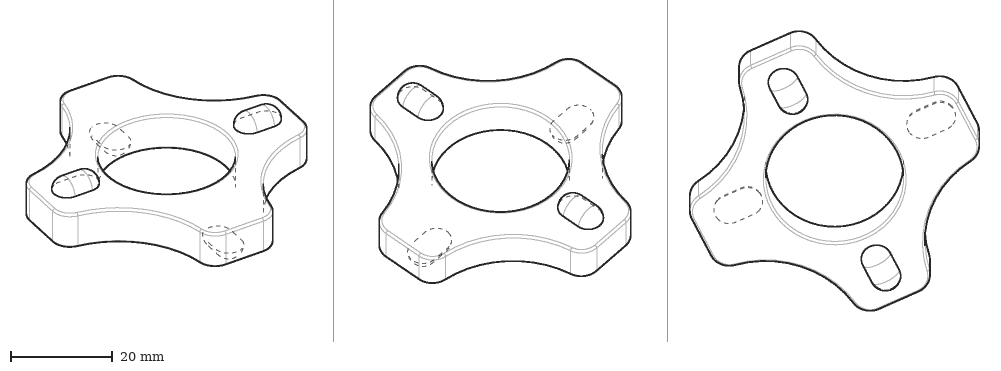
import cadquery as cq

width = 58.0
thickness = 8.0
bore_diameter = 27.0
scallop_radius = 21.0
arm_corner_radius = 4.0
edge_round = 0.5

nub_radius = 3.0
nub_length = 10.0
tall_nub_height = 3.0
low_nub_height = 2.8
nub_offset = 21.0

half_thickness = thickness / 2


def scalloped_body():
    """Square plate with a circular bite at each corner, leaving four rounded arms."""
    plate = cq.Workplane("XY").rect(width, width).extrude(half_thickness, both=True)
    bites = (
        cq.Workplane("XY")
        .rect(width, width, forConstruction=True)
        .vertices()
        .circle(scallop_radius)
        .extrude(half_thickness, both=True)
    )
    body = plate.cut(bites).edges("|Z").fillet(arm_corner_radius)
    bore = cq.Workplane("XY").circle(bore_diameter / 2).extrude(half_thickness, both=True)
    body = body.cut(bore)
    return body.faces("|Z").edges().fillet(edge_round)


def radial_nub(angle, side, nub_height):
    """Capsule lying along a radius at the given angle; side is +1 for top, -1 for bottom."""
    straight = nub_length - 2 * nub_radius
    half_profile = (
        cq.Workplane("XY")
        .moveTo(-nub_length / 2, 0)
        .radiusArc((-straight / 2, nub_radius), nub_radius)
        .lineTo(straight / 2, nub_radius)
        .radiusArc((nub_length / 2, 0), nub_radius)
        .close()
    )
    capsule = half_profile.revolve(360, (0, 0, 0), (1, 0, 0))
    axis_height = half_thickness + nub_height - nub_radius
    capsule = capsule.translate((nub_offset, 0, side * axis_height))
    return capsule.rotate((0, 0, 0), (0, 0, 1), angle)


nubs = (
    (0, -1, low_nub_height),
    (90, 1, tall_nub_height),
    (180, -1, low_nub_height),
    (270, 1, low_nub_height),
)

result = scalloped_body()
for angle, side, height in nubs:
    result = result.union(radial_nub(angle, side, height))